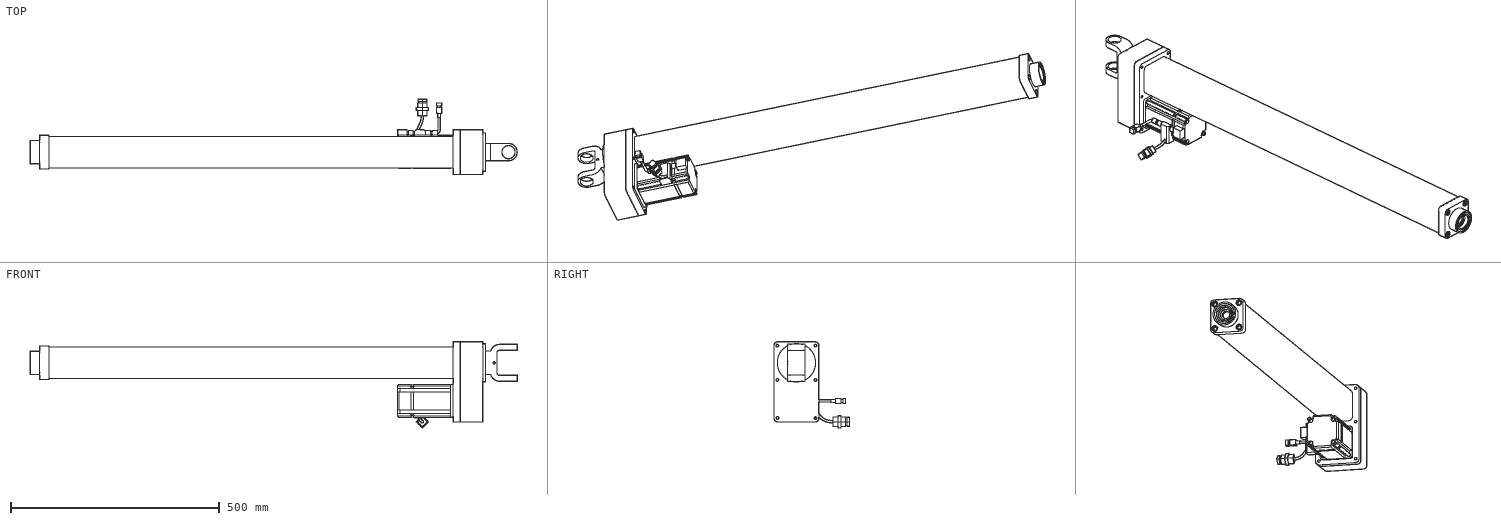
import cadquery as cq
import math


nose_length = 22.5
nose_radius = 28.2
nose_bore_steps = ((24.5, 1.0), (20.5, 2.0), (17.0, 12.0), (13.0, 14.0), (9.0, 25.0))

cap_length = 22.0
cap_size = 81.0
cap_corner_radius = 9.0
cap_screw_offset = 30.0
cap_screw_pocket_radius = 7.0
cap_screw_head_radius = 6.0
cap_screw_socket_radius = 4.0
cap_screw_pocket_depth = 8.0
cap_screw_head_height = 5.0
cap_screw_socket_depth = 3.0

tube_size = 76.0
tube_corner_radius = 10.0
tube_start = nose_length + cap_length

gearbox_start = 1013.0
cover_thickness = 17.5
housing_thickness = 54.0
gearbox_width = 108.0
gearbox_top = 50.5
gearbox_height = 192.5
gearbox_corner_radius = 9.0
gearbox_end = gearbox_start + cover_thickness + housing_thickness
seam_depth = 0.4
seam_width = 0.8
bolt_y = 45.7
bolt_heights = (41.0, -41.0, -132.2)
bolt_hole_diameter = 6.0

total_length = 1166.75
flange_radius = 46.0
flange_thickness = 6.5
fork_width = 42.0
fork_base_height = 57.0
fork_height = 89.0
fork_gap = 59.0
fork_flare_start = 1103.0
fork_flare_end = 1125.0
fork_slot_floor = 1118.5
fork_slot_corner_radius = 4.0
fork_hole_diameter = 31.0
fork_pin_x = 1111.5
fork_pin_diameter = 5.0
fork_eye_center = total_length - fork_width / 2

motor_start = 879.6
motor_size = 80.0
motor_center_z = -91.5
motor_center_y = 1.0
motor_face_width = 44.0
motor_corner_size = 72.0
motor_corner_radius = 5.0
motor_end_chamfer = 3.5
motor_groove_width = 8.0
motor_groove_depth = 7.0
motor_step_start = 912.0
motor_step_length = 6.5
motor_step_depth = 1.5
motor_plate_start = 1006.5
motor_plate_size = motor_size - 1.0
motor_plate_radius = 6.0
motor_screw_offset = 27.5
motor_screw_radius = 4.5
motor_screw_depth = 6.0
motor_side_y = motor_center_y + motor_size / 2

lead_radius = 3.0
lead_run_y = 46.0
lead_run_start = 890.0
sensor_lead_x = 979.6
lead_bend_radius = 8.0
overlap = 2.0
exit_boss_x = (880.0, 903.0)
exit_boss_z = (-104.0, -79.0)
lead_boss_top = 54.0
gland_x = (920.5, 947.0)
gland_z = (-132.0, -85.0)
gland_chamfer = 4.0
clip_spans = ((906.0, 917.0), (946.0, 959.0), (963.0, 976.0))
clip_radius = 6.0

sensor_plug_sections = ((93.0, 107.0, 13.0), (107.0, 111.0, 8.0), (111.0, 118.0, 13.0))
sensor_boot_start = 83.0
sensor_boot_radius = 3.8
power_plug_x = 939.4
power_plug_z = -141.3
power_plug_tip = 127.27
power_plug_sections = (
    (87.0, 100.0, 16.5),
    (100.0, 107.0, 21.13),
    (107.0, 118.0, 16.5),
    (118.0, 121.5, 13.0),
    (121.5, power_plug_tip, 15.5),
)
power_lead_start = (929.0, 50.0, -122.0)
power_lead_exit_direction = (0, 1, -1)
power_plug_roll = 45


def x_block(start, end, width, height, center_z, corner_radius):
    """Block along X with rounded long edges."""
    block = cq.Workplane("YZ", origin=(start, 0, center_z)).rect(width, height).extrude(end - start)
    return block.edges("|X").fillet(corner_radius)


def x_cylinder(start, end, radius, y=0.0, z=0.0):
    return cq.Workplane("YZ", origin=(start, y, z)).circle(radius).extrude(end - start)


def span_box(x_span, y_span, z_span):
    spans = (x_span, y_span, z_span)
    sizes = [high - low for low, high in spans]
    corner = tuple(low for low, high in spans)
    return cq.Workplane("XY").box(*sizes, centered=False).translate(corner)


def square_corners(offset):
    return [(y, z) for y in (-offset, offset) for z in (-offset, offset)]


def make_nose():
    nose = x_cylinder(0, nose_length, nose_radius)
    for radius, depth in nose_bore_steps:
        nose = nose.cut(x_cylinder(0, depth, radius))
    return nose


def make_cap():
    cap = x_block(nose_length, tube_start, cap_size, cap_size, 0, cap_corner_radius)
    head_seat = nose_length + cap_screw_pocket_depth
    head_face = head_seat - cap_screw_head_height
    for y, z in square_corners(cap_screw_offset):
        cap = cap.cut(x_cylinder(nose_length, head_seat, cap_screw_pocket_radius, y, z))
        head = x_cylinder(head_face, head_seat, cap_screw_head_radius, y, z)
        socket_end = head_face + cap_screw_socket_depth
        socket = x_cylinder(head_face, socket_end, cap_screw_socket_radius, y, z)
        cap = cap.union(head.cut(socket))
    return cap


def make_tube():
    return x_block(tube_start, gearbox_start, tube_size, tube_size, 0, tube_corner_radius)


def make_gearbox():
    center_z = gearbox_top - gearbox_height / 2
    body = x_block(
        gearbox_start, gearbox_end, gearbox_width, gearbox_height, center_z, gearbox_corner_radius
    )
    seam_start = gearbox_start + cover_thickness - seam_width / 2
    seam_end = seam_start + seam_width
    shell = x_block(
        seam_start, seam_end, gearbox_width, gearbox_height, center_z, gearbox_corner_radius
    )
    core = x_block(
        seam_start,
        seam_end,
        gearbox_width - 2 * seam_depth,
        gearbox_height - 2 * seam_depth,
        center_z,
        gearbox_corner_radius - seam_depth,
    )
    body = body.cut(shell.cut(core))
    for y in (-bolt_y, bolt_y):
        for z in bolt_heights:
            body = body.cut(x_cylinder(gearbox_start, gearbox_end, bolt_hole_diameter / 2, y, z))
    return body


def make_fork():
    """Flanged fork whose arms flare out along an arc and end in round eyes."""
    base_start = gearbox_end + flange_thickness
    half_base = fork_base_height / 2
    half_height = fork_height / 2
    rise = half_height - half_base
    run = fork_flare_end - fork_flare_start
    bend_radius = (run**2 + rise**2) / (2 * rise)
    half_angle = math.asin(run / bend_radius) / 2
    bend_mid_x = fork_flare_end - bend_radius * math.sin(half_angle)
    bend_mid_z = half_height - bend_radius * (1 - math.cos(half_angle))
    side = (
        cq.Workplane("XZ")
        .moveTo(base_start, -half_base)
        .lineTo(base_start, half_base)
        .lineTo(fork_flare_start, half_base)
        .threePointArc((bend_mid_x, bend_mid_z), (fork_flare_end, half_height))
        .lineTo(total_length, half_height)
        .lineTo(total_length, -half_height)
        .lineTo(fork_flare_end, -half_height)
        .threePointArc((bend_mid_x, -bend_mid_z), (fork_flare_start, -half_base))
        .close()
        .extrude(fork_width / 2, both=True)
    )
    slot = span_box(
        (fork_slot_floor, total_length),
        (-fork_width / 2, fork_width / 2),
        (-fork_gap / 2, fork_gap / 2),
    )
    slot = slot.edges("<X and |Y").fillet(fork_slot_corner_radius)
    outline = (
        cq.Workplane("XY", origin=(0, 0, -half_height))
        .moveTo(base_start, -fork_width / 2)
        .lineTo(fork_eye_center, -fork_width / 2)
        .threePointArc((total_length, 0), (fork_eye_center, fork_width / 2))
        .lineTo(base_start, fork_width / 2)
        .close()
        .extrude(fork_height)
    )
    eye_hole = (
        cq.Workplane("XY", origin=(fork_eye_center, 0, -half_height))
        .circle(fork_hole_diameter / 2)
        .extrude(fork_height)
    )
    pin_hole = (
        cq.Workplane("XZ", origin=(fork_pin_x, 0, 0))
        .circle(fork_pin_diameter / 2)
        .extrude(fork_width / 2, both=True)
    )
    flange = x_cylinder(gearbox_end, base_start, flange_radius)
    return side.cut(slot).intersect(outline).cut(eye_hole).cut(pin_hole).union(flange)


def make_motor_section(start, end, inset=0.0):
    """Motor frame: full-size side flats, set-back corner columns and grooves between them."""
    corner_size = motor_corner_size - 2 * inset
    size = motor_size - 2 * inset
    section = x_block(start, end, corner_size, corner_size, 0, motor_corner_radius)
    flat = cq.Workplane("YZ", origin=(start, 0, 0)).rect(motor_face_width, size).extrude(end - start)
    section = section.union(flat).union(flat.rotate((0, 0, 0), (1, 0, 0), 90))
    groove_offset = (motor_face_width + motor_groove_width) / 2
    groove = (
        cq.Workplane("YZ", origin=(start, 0, motor_size / 2))
        .pushPoints([(-groove_offset, 0), (groove_offset, 0)])
        .rect(motor_groove_width, 2 * motor_groove_depth)
        .extrude(end - start)
    )
    for quarter_turns in range(4):
        section = section.cut(groove.rotate((0, 0, 0), (1, 0, 0), 90 * quarter_turns))
    return section


def make_motor():
    step_end = motor_step_start + motor_step_length
    motor = make_motor_section(motor_start, motor_step_start)
    motor = motor.faces("<X").edges("<Y or >Y or <Z or >Z").chamfer(motor_end_chamfer)
    for y, z in square_corners(motor_screw_offset):
        screw_end = motor_start + motor_screw_depth
        motor = motor.cut(x_cylinder(motor_start, screw_end, motor_screw_radius, y, z))
    motor = motor.union(make_motor_section(motor_step_start, step_end, motor_step_depth))
    motor = motor.union(make_motor_section(step_end, motor_plate_start))
    plate = x_block(
        motor_plate_start, gearbox_start, motor_plate_size, motor_plate_size, 0, motor_plate_radius
    )
    return motor.union(plate).translate((0, motor_center_y, motor_center_z))


def make_sensor_lead():
    """Lead that runs along the motor, then bends outward to its plug."""
    bend_start_x = sensor_lead_x - lead_bend_radius
    bend_end_y = lead_run_y + lead_bend_radius
    bend_shift = lead_bend_radius * math.sin(math.radians(45))
    plug_start = sensor_plug_sections[0][0]
    path = (
        cq.Workplane("XY", origin=(0, 0, motor_center_z))
        .moveTo(lead_run_start, lead_run_y)
        .lineTo(bend_start_x, lead_run_y)
        .threePointArc(
            (bend_start_x + bend_shift, bend_end_y - bend_shift), (sensor_lead_x, bend_end_y)
        )
        .lineTo(sensor_lead_x, plug_start + overlap)
    )
    lead = (
        cq.Workplane("YZ", origin=(lead_run_start, lead_run_y, motor_center_z))
        .circle(lead_radius)
        .sweep(path)
    )
    boot = (
        cq.Workplane("XZ", origin=(sensor_lead_x, plug_start, motor_center_z))
        .circle(sensor_boot_radius)
        .extrude(plug_start - sensor_boot_start)
    )
    return lead.union(boot)


def make_plug(sections, center_x, center_z, roll):
    """Row of square sections along Y, rolled about the plug axis."""
    plug = cq.Workplane("XY")
    for start, end, width in sections:
        half = width / 2
        plug = plug.union(span_box((-half, half), (start, end), (-half, half)))
    return plug.rotate((0, 0, 0), (0, 1, 0), roll).translate((center_x, 0, center_z))


def make_power_lead():
    """Lead that leaves the gland outward and sags to the power plug."""
    end = (power_plug_x, power_plug_sections[0][0] + overlap, power_plug_z)
    path = cq.Workplane("XY").spline(
        [cq.Vector(power_lead_start), cq.Vector(end)],
        tangents=[cq.Vector(power_lead_exit_direction), cq.Vector(0, 1, 0)],
    )
    profile = cq.Plane(origin=power_lead_start, xDir=(1, 0, 0), normal=power_lead_exit_direction)
    return cq.Workplane(profile).circle(lead_radius).sweep(path)


def make_lead_mounts():
    """Exit boss, gland block and clips that hold the leads to the motor side."""
    mount_base = motor_side_y - motor_groove_depth - overlap
    mount_y = (mount_base, lead_boss_top)
    mounts = span_box(exit_boss_x, mount_y, exit_boss_z)
    gland = span_box(gland_x, mount_y, gland_z)
    mounts = mounts.union(gland.faces(">Y").edges("|Z").chamfer(gland_chamfer))
    for start, end in clip_spans:
        mounts = mounts.union(x_cylinder(start, end, clip_radius, lead_run_y, motor_center_z))
    return mounts


parts = (
    make_cap(),
    make_tube(),
    make_gearbox(),
    make_fork(),
    make_motor(),
    make_lead_mounts(),
    make_sensor_lead(),
    make_plug(sensor_plug_sections, sensor_lead_x, motor_center_z, 0),
    make_power_lead(),
    make_plug(power_plug_sections, power_plug_x, power_plug_z, power_plug_roll),
)

actuator = make_nose()
for part in parts:
    actuator = actuator.union(part)

result = actuator